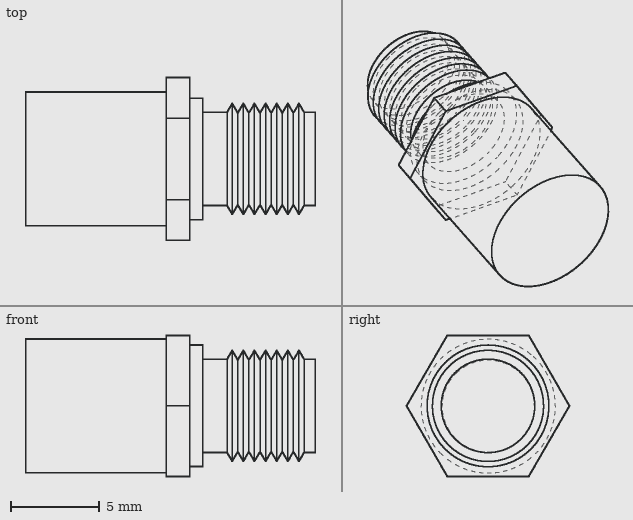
import cadquery as cq
import math

overall_length = 16.4
barrel_length = 7.95
hex_thickness = 1.35
collar_thickness = 0.73

barrel_diameter = 7.6
hex_across_flats = 8.0
collar_diameter = 6.9
neck_diameter = 5.3
thread_crest_diameter = 6.3
thread_root_diameter = 5.22

ridge_count = 7
ridge_pitch = 0.63
last_crest_to_end = 0.925

hex_end = barrel_length + hex_thickness
collar_end = hex_end + collar_thickness
last_crest_x = overall_length - last_crest_to_end
first_crest_x = last_crest_x - (ridge_count - 1) * ridge_pitch

crest_to_root_depth = (thread_crest_diameter - thread_root_diameter) / 2
crest_to_neck_depth = (thread_crest_diameter - neck_diameter) / 2
flank_run_to_neck = ridge_pitch / 2 * crest_to_neck_depth / crest_to_root_depth


def turned_body():
    """Barrel, collar, neck and thread ridges as one half profile revolved about X."""
    profile = [
        (0, 0),
        (0, barrel_diameter / 2),
        (barrel_length, barrel_diameter / 2),
        (barrel_length, collar_diameter / 2),
        (collar_end, collar_diameter / 2),
        (collar_end, neck_diameter / 2),
        (first_crest_x - flank_run_to_neck, neck_diameter / 2),
    ]
    for ridge in range(ridge_count):
        crest_x = first_crest_x + ridge * ridge_pitch
        if ridge > 0:
            profile.append((crest_x - ridge_pitch / 2, thread_root_diameter / 2))
        profile.append((crest_x, thread_crest_diameter / 2))
    profile += [
        (last_crest_x + flank_run_to_neck, neck_diameter / 2),
        (overall_length, neck_diameter / 2),
        (overall_length, 0),
    ]
    return cq.Workplane("XZ").polyline(profile).close().revolve(360, (0, 0), (1, 0))


def hex_flange():
    """Hexagonal flange with two corners on the Y axis and flats facing up and down."""
    across_corners = hex_across_flats / math.cos(math.radians(30))
    return (
        cq.Workplane("YZ")
        .workplane(offset=barrel_length)
        .polygon(6, across_corners)
        .extrude(hex_thickness)
    )


result = turned_body().union(hex_flange())